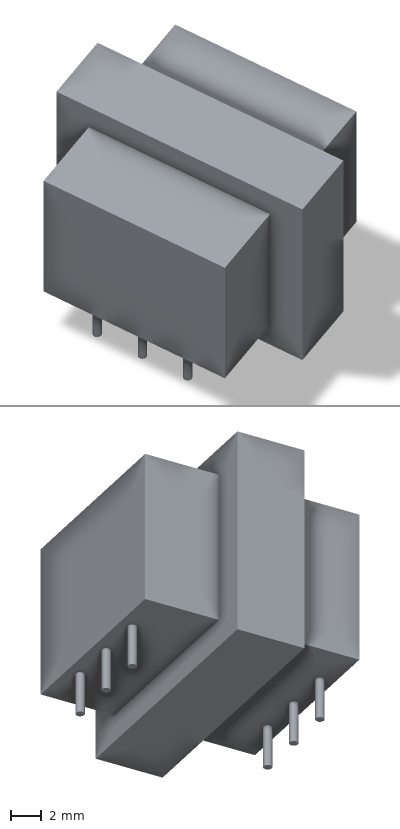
import cadquery as cq

core_width = 19.0
core_depth = 5.0
core_height = 15.0
coil_width = 14.0
coil_depth = 16.0
coil_height = 11.0
pin_diameter = 0.6
pin_length = 3.0
pin_pitch = 3.5
pin_row_spacing = 14.0
pins_per_row = 3

coil_bottom = -coil_height / 2


def make_core():
    """Upright rectangular core with a window through it that fits the coil."""
    window = cq.Workplane("XY").box(coil_width, core_depth, coil_height)
    return cq.Workplane("XY").box(core_width, core_depth, core_height).cut(window)


def make_coil():
    """Coil block passing through the core window and standing out on both sides."""
    return cq.Workplane("XY").box(coil_width, coil_depth, coil_height)


def make_pin(x, y):
    """Round pin hanging from the underside of the coil block."""
    return (
        cq.Workplane("XY", origin=(x, y, coil_bottom))
        .circle(pin_diameter / 2)
        .extrude(-pin_length)
    )


core = make_core()
coil = make_coil()

pins = []
for row_y in (-pin_row_spacing / 2, pin_row_spacing / 2):
    for index in range(pins_per_row):
        pin_x = (index - (pins_per_row - 1) / 2) * pin_pitch
        pins.append(make_pin(pin_x, row_y).val())

result = cq.Compound.makeCompound([core.val(), coil.val(), *pins])